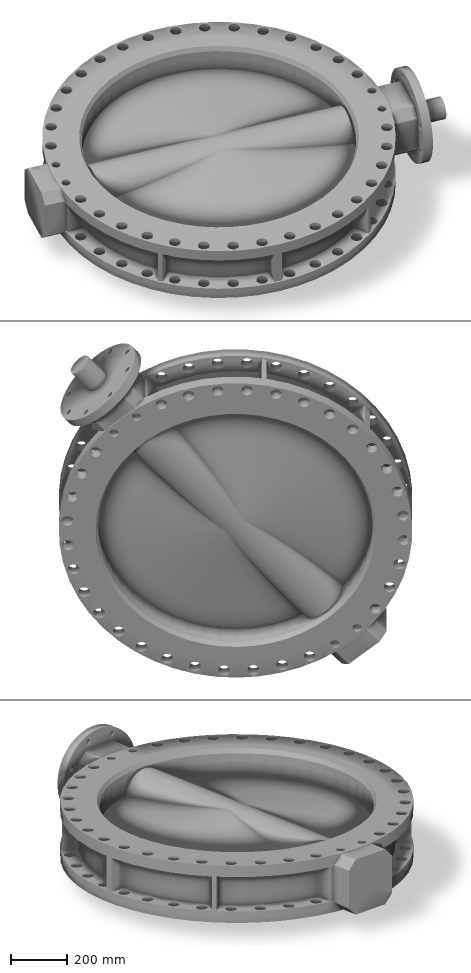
import cadquery as cq
import math


flange_radius = 628.0
flange_thickness = 43.0
housing_height = 218.0
core_radius = 563.0
web_height = housing_height - 2 * flange_thickness

bolt_circle_radius = 598.0
bolt_count = 36
bolt_pitch = 360 / bolt_count
bolt_hole_diameter = 42.0
tapped_hole_diameter = 32.0
tapped_hole_depth = 62.0
drill_tip_angle = 118

rib_outer_radius = 621.0
side_rib_thickness = 28.0
diagonal_rib_thickness = 17.0
diagonal_rib_angle = 39.5
lug_width = 230.0
web_fillet = 12.0

neck_width = 210.0
neck_chamfer = 34.0
neck_bottom_y = -695.0
plate_diameter = 350.0
plate_thickness = 34.0
plate_outer_y = 745.0
plate_inner_y = plate_outer_y - plate_thickness
neck_flat_width = neck_width - 2 * neck_chamfer
neck_root_fillet = 5.0
plate_hole_circle_radius = 149.0
plate_hole_count = 8
plate_hole_diameter = 22.0

liner_outer_radius = 538.0
liner_inner_radius = 488.0
liner_chamfer_width = 9.0
liner_chamfer_height = 17.0

hub_radius = 90.0
hub_half_length = 478.0
disc_radius = liner_inner_radius
disc_rim_half_thickness = 9.0
disc_center_half_thickness = 88.0

shaft_diameter = 83.0
overall_length = 1538.0
shaft_top_y = neck_bottom_y + overall_length
shaft_bottom_y = -flange_radius


def z_cylinder(radius, height):
    """Cylinder about Z, centred on the mid-plane."""
    return cq.Workplane("XY", origin=(0, 0, -height / 2)).circle(radius).extrude(height)


def y_workplane(y):
    """Workplane at the given Y whose extrusions run toward +Y."""
    return cq.Workplane("XZ", origin=(0, y, 0)).transformed(rotate=(180, 0, 0))


def y_cylinder(radius, start_y, end_y):
    return y_workplane(start_y).circle(radius).extrude(end_y - start_y)


def revolve_about_z(profile):
    """Solid of revolution about Z from a closed list of (radius, z) points."""
    return cq.Workplane("XZ").polyline(profile).close().revolve(360, (0, 0, 0), (0, 1, 0))


def is_web_root_edge(edge):
    """True for an upright edge where a rib or lug meets the core ring."""
    center = edge.Center()
    return math.hypot(center.x, center.y) < (core_radius + rib_outer_radius) / 2


def make_shaft():
    """Round shaft, which also serves as the cutter for its bore in the other bodies."""
    return y_cylinder(shaft_diameter / 2, shaft_bottom_y, shaft_top_y)


def make_web():
    """Core ring with radial ribs and the two lugs carrying the necks."""
    web = z_cylinder(core_radius, web_height)
    ribs = [
        (0, side_rib_thickness),
        (diagonal_rib_angle, diagonal_rib_thickness),
        (-diagonal_rib_angle, diagonal_rib_thickness),
        (90, lug_width),
    ]
    for angle, thickness in ribs:
        bar = cq.Workplane("XY").box(2 * flange_radius, thickness, web_height)
        bar = bar.intersect(z_cylinder(rib_outer_radius, web_height))
        web = web.union(bar.rotate((0, 0, 0), (0, 0, 1), angle))
    root_edges = web.edges("|Z").filter(is_web_root_edge)
    return root_edges.fillet(web_fillet)


def make_neck():
    """Octagonal bar along Y with the actuator plate at its +Y end."""
    length = plate_inner_y - neck_bottom_y
    neck = y_workplane(neck_bottom_y).rect(neck_width, neck_width).extrude(length)
    neck = neck.edges("|Y").chamfer(neck_chamfer)
    return neck.union(y_cylinder(plate_diameter / 2, plate_inner_y, plate_outer_y))


def make_neck_root_fillet(angle):
    """Concave fillet between the plate and one flat of the neck."""
    flat = neck_width / 2
    profile = (
        cq.Workplane("YZ")
        .moveTo(plate_inner_y, flat)
        .lineTo(plate_inner_y, flat + neck_root_fillet)
        .radiusArc((plate_inner_y - neck_root_fillet, flat), neck_root_fillet)
        .close()
    )
    fillet = profile.extrude(neck_flat_width / 2, both=True)
    return fillet.rotate((0, 0, 0), (0, 1, 0), angle)


def bolt_points(over_necks):
    """Bolt positions: the pairs over the necks, or all the others."""
    points = []
    for i in range(bolt_count):
        angle = math.radians((i + 0.5) * bolt_pitch)
        x = bolt_circle_radius * math.cos(angle)
        y = bolt_circle_radius * math.sin(angle)
        if (abs(x) < neck_width / 2) == over_necks:
            points.append((x, y))
    return points


def make_tapped_hole():
    """Blind hole from the top face, with a conical drill tip."""
    radius = tapped_hole_diameter / 2
    tip = radius / math.tan(math.radians(drill_tip_angle / 2))
    top = housing_height / 2
    floor = top - tapped_hole_depth
    profile = [(0, top), (radius, top), (radius, floor), (0, floor - tip)]
    return revolve_about_z(profile)


def make_housing():
    housing = make_web().union(make_neck())
    flange_offset = (housing_height - flange_thickness) / 2
    for z in (-flange_offset, flange_offset):
        housing = housing.union(z_cylinder(flange_radius, flange_thickness).translate((0, 0, z)))
    for angle in (0, 90, 180, 270):
        housing = housing.union(make_neck_root_fillet(angle))

    housing = housing.cut(z_cylinder(liner_outer_radius, housing_height))
    housing = housing.cut(make_shaft())

    bolt_hole = z_cylinder(bolt_hole_diameter / 2, housing_height)
    for x, y in bolt_points(over_necks=False):
        housing = housing.cut(bolt_hole.translate((x, y, 0)))

    for x, y in bolt_points(over_necks=True):
        top_hole = make_tapped_hole().translate((x, y, 0))
        housing = housing.cut(top_hole).cut(top_hole.mirror("XY"))

    plate_holes = (
        y_workplane(plate_inner_y)
        .polarArray(plate_hole_circle_radius, 180 / plate_hole_count, 360, plate_hole_count)
        .circle(plate_hole_diameter / 2)
        .extrude(plate_thickness)
    )
    return housing.cut(plate_holes)


def make_liner():
    """Seat ring with a chamfered lead-in at both ends of its bore."""
    top = housing_height / 2
    mouth_radius = liner_inner_radius + liner_chamfer_width
    chamfer_z = top - liner_chamfer_height
    profile = [
        (liner_outer_radius, -top),
        (liner_outer_radius, top),
        (mouth_radius, top),
        (liner_inner_radius, chamfer_z),
        (liner_inner_radius, -chamfer_z),
        (mouth_radius, -top),
    ]
    liner = revolve_about_z(profile)
    return liner.cut(make_shaft())


def make_disc():
    profile = [
        (0, -disc_center_half_thickness),
        (disc_radius, -disc_rim_half_thickness),
        (disc_radius, disc_rim_half_thickness),
        (0, disc_center_half_thickness),
    ]
    disc = revolve_about_z(profile)
    hub = y_cylinder(hub_radius, -hub_half_length, hub_half_length)
    disc = disc.union(hub)
    return disc.cut(make_shaft())


housing = make_housing()
liner = make_liner()
disc = make_disc()
shaft = make_shaft()

result = cq.Compound.makeCompound([housing.val(), liner.val(), disc.val(), shaft.val()])